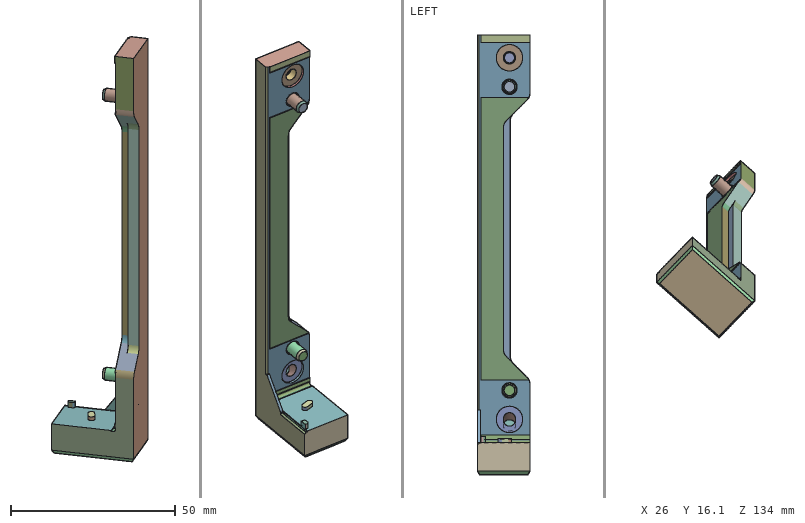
import cadquery as cq
import math

LENGTH_X = 26.0
WIDTH_Y = 16.1
HEIGHT_Z = 134.0

PLATE_THICKNESS = 6.0
PLATE_FACE_X = LENGTH_X - PLATE_THICKNESS
FOOT_HEIGHT = 9.9
FOOT_CORNER_RADIUS = 0.7
FOOT_BOTTOM_CHAMFER_RUN = 0.7
FOOT_BOTTOM_CHAMFER_RISE = 1.2

PAD_HEIGHT = 0.3
BASE_FACE_X = PLATE_FACE_X + PAD_HEIGHT
BASE_FOOT_Z = FOOT_HEIGHT - PAD_HEIGHT
RIM_WIDTH = 1.1
RIM_CHAMFER = 0.5
CORNER_RELIEF = 1.1

WAIST_CENTER_Z = 72.0
WAIST_HALF_LENGTH = 43.1
WAIST_DEPTH = 6.0
WAIST_BEND_RADIUS = 3.2
FRONT_WAIST_DEPTH = 8.2
FRONT_WAIST_THICKNESS = 2.5

SEAT_INNER_OFFSET = 43.0
SEAT_OUTER_OFFSET = 59.8

FEATURE_Y = 6.3
PIN_OFFSET = 46.2
PIN_DIAMETER = 4.0
PIN_TIP_DIAMETER = 3.2
PIN_TIP_X = 14.7
PIN_TIP_LENGTH = 0.8
PIN_HOLE_DEPTH = 4.0
PIN_RELIEF_DIAMETER = 4.7
PIN_RELIEF_DEPTH = 0.4

SCREW_OFFSET = 55.1
WASHER_DIAMETER = 8.0
WASHER_DEPTH = 0.8
SCREW_HOLE_DIAMETER = 3.8
SCREW_HOLE_DEPTH = 2.7
SCREW_CORE_DIAMETER = 3.1
SCREW_CORE_DEPTH = 4.0
TILTED_HOLE_ANGLE = 25.0
TILTED_HOLE_DEPTH = 4.3

GUSSET_LENGTH = 7.2
GUSSET_HEIGHT = 9.8
GUSSET_THICKNESS = 1.0

KEY_X = 10.5
KEY_Y = 7.8
KEY_WIDTH = 2.0
KEY_LENGTH = 4.2
KEY_HEIGHT = 1.2
KEY_ANGLE = 107.0
NUB_X = 2.3
NUB_LENGTH = 2.1
NUB_WIDTH = 1.3
NUB_HEIGHT = 1.7
NUB_CORNER_RADIUS = 0.5

OVERCUT = 1.3
END_SIDES = (-1, 1)


def box(x_range, y_range, z_range):
    """Axis-aligned box spanning three (start, end) ranges."""
    sizes = [end - start for start, end in (x_range, y_range, z_range)]
    return cq.Workplane("XY").box(*sizes, centered=False).translate((x_range[0], y_range[0], z_range[0]))


def cylinder_x(diameter, x_start, x_end, z):
    """Cylinder along X on the common hole line at height z."""
    return (
        cq.Workplane("YZ", origin=(x_start, FEATURE_Y, z))
        .circle(diameter / 2)
        .extrude(x_end - x_start)
    )


def make_blank():
    """L-shaped blank with a filleted inner corner and a chamfered foot."""
    profile = [
        (0, 0),
        (LENGTH_X, 0),
        (LENGTH_X, HEIGHT_Z),
        (BASE_FACE_X, HEIGHT_Z),
        (BASE_FACE_X, BASE_FOOT_Z),
        (0, BASE_FOOT_Z),
    ]
    blank = cq.Workplane("XZ").polyline(profile).close().extrude(-WIDTH_Y)
    inner_corner = cq.selectors.NearestToPointSelector((BASE_FACE_X, WIDTH_Y / 2, BASE_FOOT_Z))
    blank = blank.edges(inner_corner).fillet(FOOT_CORNER_RADIUS)
    return blank.intersect(foot_chamfer_envelope())


def foot_chamfer_envelope():
    """Full-height block whose lower end tapers in to form the foot chamfer."""
    taper = math.degrees(math.atan(FOOT_BOTTOM_CHAMFER_RUN / FOOT_BOTTOM_CHAMFER_RISE))
    lower = (
        cq.Workplane("XY", origin=(LENGTH_X / 2, WIDTH_Y / 2, FOOT_BOTTOM_CHAMFER_RISE))
        .rect(LENGTH_X, WIDTH_Y)
        .extrude(-FOOT_BOTTOM_CHAMFER_RISE, taper=taper)
    )
    return lower.union(box((0, LENGTH_X), (0, WIDTH_Y), (FOOT_BOTTOM_CHAMFER_RISE, HEIGHT_Z)))


def bevel_back_edges(bracket):
    """Chamfer the +Y edges of the plate face and the foot top."""
    plate_bevel = (
        cq.Workplane("XY", origin=(BASE_FACE_X, WIDTH_Y, BASE_FOOT_Z))
        .polyline([(0, 0), (RIM_CHAMFER, 0), (0, -RIM_CHAMFER)])
        .close()
        .extrude(HEIGHT_Z - BASE_FOOT_Z)
    )
    foot_bevel = (
        cq.Workplane("YZ", origin=(0, WIDTH_Y, BASE_FOOT_Z))
        .polyline([(0, 0), (-RIM_CHAMFER, 0), (0, -RIM_CHAMFER)])
        .close()
        .extrude(BASE_FACE_X)
    )
    return bracket.cut(plate_bevel).cut(foot_bevel)


def add_pads(bracket):
    """Raised pads on the foot and plate, set back from the rim and the inner corner."""
    pad_y = (0, WIDTH_Y - RIM_WIDTH)
    foot_pad = box((0, PLATE_FACE_X - CORNER_RELIEF), pad_y, (BASE_FOOT_Z, FOOT_HEIGHT))
    bracket = bracket.union(foot_pad)
    plate_pad_spans = [
        (BASE_FOOT_Z + CORNER_RELIEF, WAIST_CENTER_Z - SEAT_OUTER_OFFSET),
        (WAIST_CENTER_Z - SEAT_INNER_OFFSET, WAIST_CENTER_Z + SEAT_INNER_OFFSET),
        (WAIST_CENTER_Z + SEAT_OUTER_OFFSET, HEIGHT_Z),
    ]
    for span in plate_pad_spans:
        bracket = bracket.union(box((PLATE_FACE_X, BASE_FACE_X), pad_y, span))
    return bracket


def make_gusset():
    """Thin triangular web along the +Y side."""
    triangle = [
        (PLATE_FACE_X - GUSSET_LENGTH, FOOT_HEIGHT),
        (PLATE_FACE_X, FOOT_HEIGHT + GUSSET_HEIGHT),
        (PLATE_FACE_X + OVERCUT, FOOT_HEIGHT + GUSSET_HEIGHT),
        (PLATE_FACE_X + OVERCUT, BASE_FOOT_Z - RIM_CHAMFER),
        (PLATE_FACE_X - GUSSET_LENGTH, BASE_FOOT_Z - RIM_CHAMFER),
    ]
    return (
        cq.Workplane("XZ", origin=(0, WIDTH_Y, 0))
        .polyline(triangle)
        .close()
        .extrude(GUSSET_THICKNESS)
    )


def waist_cutter(depth, x_start, x_end):
    """Trapezoidal cut with 45 degree ends and rounded inner bends."""
    flat_half_length = WAIST_HALF_LENGTH - depth
    far_half_length = WAIST_HALF_LENGTH + OVERCUT
    outline = [
        (-OVERCUT, WAIST_CENTER_Z - far_half_length),
        (depth, WAIST_CENTER_Z - flat_half_length),
        (depth, WAIST_CENTER_Z + flat_half_length),
        (-OVERCUT, WAIST_CENTER_Z + far_half_length),
    ]
    cutter = (
        cq.Workplane("YZ", origin=(x_start, 0, 0))
        .polyline(outline)
        .close()
        .extrude(x_end - x_start)
    )
    return cutter.edges("|X and >Y").fillet(WAIST_BEND_RADIUS)


def cut_waist(bracket):
    """Stepped waist: deeper next to the plate face, with rounded outer corners."""
    bracket = bracket.cut(waist_cutter(WAIST_DEPTH, PLATE_FACE_X - OVERCUT, LENGTH_X + OVERCUT))
    for side in END_SIDES:
        corner = (LENGTH_X - PLATE_THICKNESS / 2, 0, WAIST_CENTER_Z + side * WAIST_HALF_LENGTH)
        bracket = bracket.edges(cq.selectors.NearestToPointSelector(corner)).fillet(WAIST_BEND_RADIUS)
    step_x = PLATE_FACE_X + FRONT_WAIST_THICKNESS
    return bracket.cut(waist_cutter(FRONT_WAIST_DEPTH, PLATE_FACE_X - OVERCUT, step_x))


def cut_pin_holes(bracket):
    """Blind pin holes with a small relief around each mouth."""
    for side in END_SIDES:
        z = WAIST_CENTER_Z + side * PIN_OFFSET
        hole = cylinder_x(PIN_DIAMETER, BASE_FACE_X, BASE_FACE_X + PIN_HOLE_DEPTH, z)
        relief = cylinder_x(PIN_RELIEF_DIAMETER, BASE_FACE_X, BASE_FACE_X + PIN_RELIEF_DEPTH, z)
        bracket = bracket.cut(hole).cut(relief)
    return bracket


def cut_screw_holes(bracket):
    """Washer recesses, a stepped upper hole and a downward-tilted lower hole."""
    washer_floor_x = BASE_FACE_X + WASHER_DEPTH
    upper_z = WAIST_CENTER_Z + SCREW_OFFSET
    lower_z = WAIST_CENTER_Z - SCREW_OFFSET
    for z in (lower_z, upper_z):
        bracket = bracket.cut(cylinder_x(WASHER_DIAMETER, BASE_FACE_X, washer_floor_x, z))
    outer_end_x = washer_floor_x + SCREW_HOLE_DEPTH
    core_end_x = washer_floor_x + SCREW_CORE_DEPTH
    bracket = bracket.cut(cylinder_x(SCREW_HOLE_DIAMETER, washer_floor_x, outer_end_x, upper_z))
    bracket = bracket.cut(cylinder_x(SCREW_CORE_DIAMETER, washer_floor_x, core_end_x, upper_z))
    mouth = (washer_floor_x, FEATURE_Y, lower_z)
    tilted_end_x = washer_floor_x + TILTED_HOLE_DEPTH
    tilted = cylinder_x(SCREW_HOLE_DIAMETER, washer_floor_x - OVERCUT, tilted_end_x, lower_z)
    tilted = tilted.rotate(mouth, (mouth[0], mouth[1] + 1.3, mouth[2]), TILTED_HOLE_ANGLE)
    return bracket.cut(tilted)


def make_bumps():
    """Tilted oblong key and a small rounded nub on the foot."""
    key = (
        cq.Workplane("XY", origin=(KEY_X, KEY_Y, FOOT_HEIGHT))
        .slot2D(KEY_LENGTH, KEY_WIDTH, KEY_ANGLE)
        .extrude(KEY_HEIGHT)
    )
    nub_back_y = WIDTH_Y - RIM_WIDTH
    nub = box(
        (NUB_X - NUB_LENGTH / 2, NUB_X + NUB_LENGTH / 2),
        (nub_back_y - NUB_WIDTH, nub_back_y),
        (FOOT_HEIGHT, FOOT_HEIGHT + NUB_HEIGHT),
    )
    return key, nub.edges("|Z and <Y").fillet(NUB_CORNER_RADIUS)


def make_bracket():
    """Complete bracket: plate, foot, pads, gusset, holes and bumps."""
    bracket = bevel_back_edges(make_blank())
    bracket = add_pads(bracket)
    bracket = cut_waist(bracket)
    bracket = bracket.union(make_gusset())
    bracket = cut_pin_holes(bracket)
    bracket = cut_screw_holes(bracket)
    for bump in make_bumps():
        bracket = bracket.union(bump)
    return bracket


def make_pin(z):
    """Dowel pin along X with a tapered free end."""
    pin = cylinder_x(PIN_DIAMETER, PIN_TIP_X, BASE_FACE_X + PIN_HOLE_DEPTH, z)
    return pin.faces("<X").chamfer(PIN_TIP_LENGTH, (PIN_DIAMETER - PIN_TIP_DIAMETER) / 2)


bracket = make_bracket()
pins = [make_pin(WAIST_CENTER_Z + side * PIN_OFFSET) for side in END_SIDES]

result = cq.Compound.makeCompound([bracket.val(), *[pin.val() for pin in pins]])